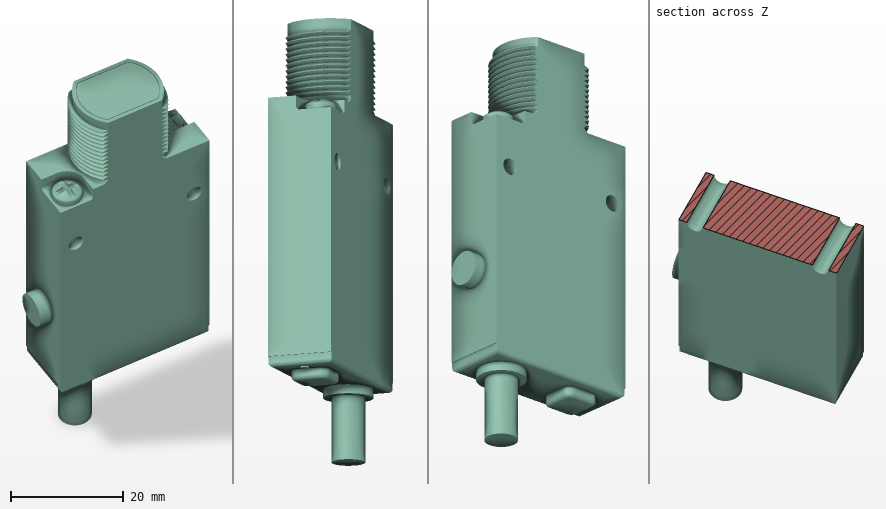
import cadquery as cq
base_bottom = 13.3
base_top = 15.2
head_bottom = 57.1
shoulder_top = 62.2
thread_top = 75.5
nose_top = 77.4

width = 12.1
length = 30.8
base_step = 0.19
base_round = 0.7
corner_offset_y = 12.2

mounting_hole_diameter = 3.1
mounting_hole_height = 50.25

button_diameter = 6.35
button_height = 30.9
button_protrusion = 2.5

cable_y = -8.9
cable_diameter = 6.05
gland_diameter = 9.0
gland_height = 1.6
plug_y = 7.7
plug_size = 7.1
plug_height = 1.85
plug_corner_radius = 1.5
plug_round = 0.7
indicator_y = 12.85
indicator_diameter = 1.55
indicator_height = 0.2

nose_radius = 8.2
crest_radius = 9.0
flare_radius = 8.8
flare_height = 0.7
thread_pitch = 1.0
thread_half_turns = 24
thread_start = 63.3
ridge_base = 0.9
ridge_tip = 0.1
ridge_overlap = 0.04
window_inset = 0.7
window_groove_width = 0.15
window_groove_depth = 0.2

screw_x = 2.9
screw_radius = 2.7
screw_rim_height = 0.9
screw_shoulder_height = 0.4
screw_dome_height = 0.85
screw_dome_edge_radius = 2.5
screw_shoulder_radius = 0.5
slot_width = 1.1
slot_depth = 0.8
pocket_depth = 2.55
pocket_radius = 3.6
pocket_floor_round = 0.7
pocket_floor = shoulder_top - pocket_depth
screw_angles = (0, 180)


def block(size_x, size_y, bottom, top):
    """Box centred on the Z axis between two heights."""
    return cq.Workplane("XY", origin=(0, 0, bottom)).rect(size_x, size_y).extrude(top - bottom)


def disc(radius, bottom, top, y=0):
    """Upright cylinder between two heights."""
    return cq.Workplane("XY", origin=(0, y, bottom)).circle(radius).extrude(top - bottom)


def make_base():
    base = block(width, length - 2 * base_step, base_bottom, base_top)
    return base.faces("<Z").edges().fillet(base_round)


def make_button():
    front = cq.Workplane("XZ", origin=(0, -length / 2, button_height))
    return front.circle(button_diameter / 2).extrude(button_protrusion)


def make_plug():
    plug = cq.Workplane("XY", origin=(0, plug_y, base_bottom)).rect(plug_size, plug_size).extrude(-plug_height)
    plug = plug.edges("|Z").fillet(plug_corner_radius)
    return plug.faces("<Z").edges().fillet(plug_round)


def make_housing():
    housing = block(width, length, base_top, head_bottom)
    holes = (
        cq.Workplane("YZ", origin=(-width / 2, 0, mounting_hole_height))
        .pushPoints([(-corner_offset_y, 0), (corner_offset_y, 0)])
        .circle(mounting_hole_diameter / 2)
        .extrude(width)
    )
    gland = disc(gland_diameter / 2, base_bottom - gland_height, base_bottom, cable_y)
    cable = disc(cable_diameter / 2, 0, base_bottom, cable_y)
    indicator = disc(indicator_diameter / 2, base_bottom - indicator_height, base_bottom, indicator_y)
    housing = housing.cut(holes).union(make_base()).union(make_button())
    return housing.union(make_plug()).union(gland).union(cable).union(indicator)


def make_ridge():
    """One thread ridge across the -Y side, its crest at height zero in the middle, cut off at the flats."""
    rise = thread_pitch / 2
    helix = cq.Wire.makeHelix(thread_pitch, rise, nose_radius)
    flank_slope = (ridge_base - ridge_tip) / 2 / (crest_radius - nose_radius)
    inner_radius = nose_radius - ridge_overlap
    inner_half = ridge_base / 2 + flank_slope * ridge_overlap
    ridge = (
        cq.Workplane("XZ")
        .moveTo(inner_radius, -inner_half)
        .lineTo(crest_radius, -ridge_tip / 2)
        .lineTo(crest_radius, ridge_tip / 2)
        .lineTo(inner_radius, inner_half)
        .close()
        .sweep(cq.Workplane(obj=helix), isFrenet=True)
    )
    ridge = ridge.rotate((0, 0, 0), (0, 0, 1), 180)
    ridge = ridge.translate((0, 0, -rise / 2))
    return ridge.intersect(block(width, length, -thread_pitch, thread_pitch))


def make_thread():
    """Ridges of a single helix, each half turn half a pitch above the one on the other side."""
    ridge = make_ridge()
    thread_zone = block(width, length, shoulder_top, thread_top)
    ridges = []
    for half_turn in range(thread_half_turns + 1):
        turned = ridge.rotate((0, 0, 0), (0, 0, 1), 180 * half_turn)
        placed = turned.translate((0, 0, thread_start + half_turn * thread_pitch / 2))
        ridges.append(placed.intersect(thread_zone).val())
    return ridges


def make_nose():
    core = disc(nose_radius, shoulder_top, nose_top)
    flare = cq.Workplane(
        cq.Solid.makeCone(flare_radius, nose_radius, flare_height, pnt=cq.Vector(0, 0, shoulder_top))
    )
    flats = block(width, length, shoulder_top, nose_top)
    nose = core.union(flare).intersect(flats)
    return cq.Workplane(nose.val().fuse(*make_thread()))


def window_shape(inset):
    """Plate that follows the outline of the nose top at a given inset."""
    bottom = nose_top - window_groove_depth
    plate = disc(nose_radius - inset, bottom, nose_top)
    return plate.intersect(block(width - 2 * inset, length, bottom, nose_top))


def make_window_groove():
    """Narrow groove that frames the window in the top of the nose."""
    return window_shape(window_inset).cut(window_shape(window_inset + window_groove_width))


def make_pocket():
    """Corner pocket around the screw at -X, +Y, open to both outer sides."""
    wall_x = -screw_x + pocket_radius
    wall_y = corner_offset_y - pocket_radius
    outer_x = -width / 2
    outer_y = length / 2
    pocket = (
        cq.Workplane("XY", origin=(0, 0, pocket_floor))
        .moveTo(wall_x, outer_y)
        .lineTo(wall_x, corner_offset_y)
        .radiusArc((-screw_x, wall_y), pocket_radius)
        .lineTo(outer_x, wall_y)
        .lineTo(outer_x, outer_y)
        .close()
        .extrude(pocket_depth)
    )
    return pocket.faces("<Z").edges("not(<X or >Y)").fillet(pocket_floor_round)


def make_head():
    head = block(width, length, head_bottom, shoulder_top)
    pocket = make_pocket()
    for angle in screw_angles:
        head = head.cut(pocket.rotate((0, 0, 0), (0, 0, 1), angle))
    return head.union(make_nose()).cut(make_window_groove())


def make_screw(angle):
    """Cross-slotted screw with a domed top, standing on the pocket floor."""
    shoulder = screw_rim_height + screw_shoulder_height
    top = shoulder + screw_dome_height
    dome_sphere = (screw_dome_edge_radius**2 + screw_dome_height**2) / (2 * screw_dome_height)
    screw = (
        cq.Workplane("XZ")
        .lineTo(screw_radius, 0)
        .lineTo(screw_radius, screw_rim_height)
        .radiusArc((screw_dome_edge_radius, shoulder), -screw_shoulder_radius)
        .radiusArc((0, top), -dome_sphere)
        .close()
        .revolve(360, (0, 0, 0), (0, 1, 0))
    )
    screw = screw.cut(block(slot_width, 2 * screw_radius, top - slot_depth, top))
    screw = screw.cut(block(2 * screw_radius, slot_width, top - slot_depth, top))
    screw = screw.translate((-screw_x, corner_offset_y, pocket_floor))
    return screw.rotate((0, 0, 0), (0, 0, 1), angle)


housing = make_housing()
head = make_head()
screws = [make_screw(angle) for angle in screw_angles]

result = cq.Compound.makeCompound([housing.val(), head.val(), *[screw.val() for screw in screws]])